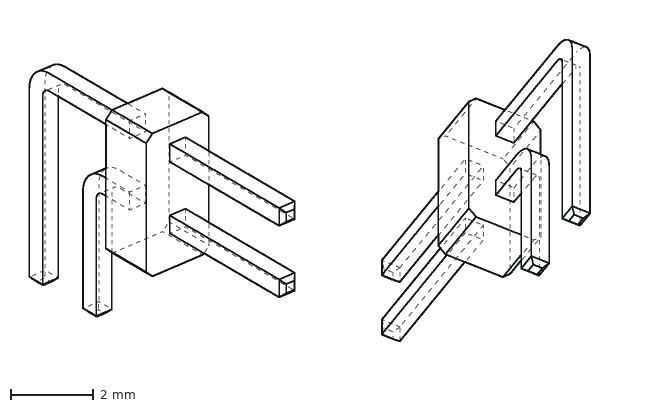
import cadquery as cq

housing_length = 1.5
housing_width = 2.0
housing_height = 2 * housing_width
housing_chamfer = 0.2

pin_size = 0.5
pitch = 2.0
bend_outer_radius = 0.75
bend_inner_radius = bend_outer_radius - pin_size
tip_chamfer = 0.12
tip_end_size = pin_size - 2 * tip_chamfer

total_length = 9.45
total_height = 6.65
housing_start = 3.74
upper_pin_top = housing_height - 0.5
pin_bottom = housing_height - total_height


def make_housing():
    """Block with the four edges along X chamfered."""
    block = cq.Workplane("XY").box(
        housing_length, housing_width, housing_height, centered=(False, True, False)
    )
    return block.edges("|X").chamfer(housing_chamfer).translate((housing_start, 0, 0))


def make_tip(plane):
    """Frustum tapering from the full pin section along the plane normal."""
    return (
        cq.Workplane(plane)
        .rect(pin_size, pin_size)
        .workplane(offset=tip_chamfer)
        .rect(tip_end_size, tip_end_size)
        .loft(combine=True)
    )


def make_pin(left, top):
    """Bent pin whose outer corner, before rounding, lies at X = left, Z = top."""
    shaft_end = total_length - tip_chamfer
    leg_end = pin_bottom + tip_chamfer
    inner_left = left + pin_size
    inner_top = top - pin_size
    shaft = (
        cq.Workplane("XZ")
        .moveTo(left, leg_end)
        .lineTo(left, top - bend_outer_radius)
        .radiusArc((left + bend_outer_radius, top), bend_outer_radius)
        .lineTo(shaft_end, top)
        .lineTo(shaft_end, inner_top)
        .lineTo(inner_left + bend_inner_radius, inner_top)
        .radiusArc((inner_left, inner_top - bend_inner_radius), -bend_inner_radius)
        .lineTo(inner_left, leg_end)
        .close()
        .extrude(pin_size / 2, both=True)
    )
    shaft_tip = make_tip(cq.Plane((shaft_end, 0, top - pin_size / 2), (0, 1, 0), (1, 0, 0)))
    leg_tip = make_tip(cq.Plane((left + pin_size / 2, 0, leg_end), (1, 0, 0), (0, 0, -1)))
    return shaft.union(shaft_tip).union(leg_tip)


result = make_housing()
for row in range(2):
    result = result.union(make_pin(row * pitch, upper_pin_top - row * pitch))